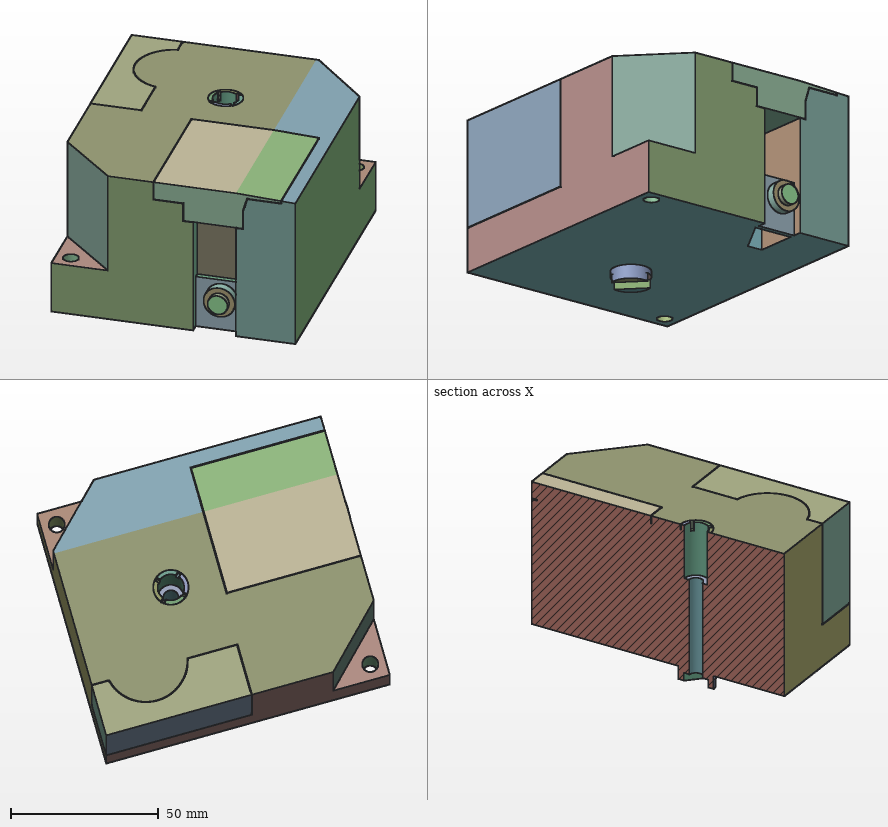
import cadquery as cq
import math

width = 86.0
depth = 100.0
height = 55.0

slope_start_x = 65.1
slope_drop = 0.9

corner_leg = 20.0
shelf_z = 18.7
mount_dia = 5.4
mount_inset = 5.4

seam_gap = 0.2
seam_depth = 2.0
outline_overrun = 1.0

lid_left = 36.1
lid_right = 80.9
lid_back_y = 47.1
lid_step_x = 46.6
lid_step_z = 48.5
lid_bottom_z = 41.7
lid_wall_x = 67.4
lid_taper_x = 69.0
lid_flange_z = 53.4
lid_clearance_depth = 22.4

panel_width = 17.8
panel_front_y = 48.8
panel_bottom_z = 16.2
bite_radius = 14.3
bite_x = 21.0
bite_y = 80.1

slot_left = 50.0
slot_right = 65.1
slot_middle_x = 59.2
oblique_angle = 60.0

plate_setback = 3.3
plate_thickness = 1.9
plate_top_z = 19.1
button_z = 12.1
button_dia = 11.0
button_pin_dia = 7.0
button_pin_length = 2.0

hub_x = 43.0
hub_y = 65.0
hub_outer_dia = 12.0
hub_ring_dia = 11.9
hub_seam_depth = 2.0
hub_bore_dia = 9.0
hub_bore_depth = 20.4
hub_hole_dia = 5.2
spigot_dia = 14.0
spigot_length = 5.0
key_slot_width = 6.7
key_slot_depth = 3.0
key_slot_angle = -45
hub_notch_width = 1.2
hub_notch_depth = 3.3
hub_notch_angles = (45, -45)


def box(x0, x1, y0, y1, z0, z1):
    return cq.Workplane("XY").box(x1 - x0, y1 - y0, z1 - z0, centered=False).translate((x0, y0, z0))


def cylinder(x, y, z0, z1, diameter):
    return cq.Workplane("XY", origin=(x, y, z0)).circle(diameter / 2).extrude(z1 - z0)


def front_cylinder(x, z, y_front, y_back, diameter):
    return cq.Workplane("XZ", origin=(x, y_back, z)).circle(diameter / 2).extrude(y_back - y_front)


def housing():
    profile = [(0, 0), (width, 0), (width, height - slope_drop), (slope_start_x, height), (0, height)]
    return cq.Workplane("XZ").polyline(profile).close().extrude(-depth)


def corner_cut(x, y, x_inward, y_inward):
    triangle = [(x, y), (x + x_inward * corner_leg, y), (x, y + y_inward * corner_leg)]
    cut = cq.Workplane("XY", origin=(0, 0, shelf_z)).polyline(triangle).close().extrude(height - shelf_z)
    hole_x = x + x_inward * mount_inset
    hole_y = y + y_inward * mount_inset
    return cut.union(cylinder(hole_x, hole_y, 0, height, mount_dia))


def lid_profile():
    above = height + outline_overrun
    outline = [
        (lid_left, above),
        (lid_left, lid_step_z),
        (lid_step_x, lid_step_z),
        (lid_step_x, lid_bottom_z),
        (lid_wall_x, lid_bottom_z),
        (lid_wall_x, lid_step_z),
        (lid_taper_x, lid_flange_z),
        (lid_right, lid_flange_z),
        (lid_right, above),
    ]
    return cq.Workplane("XZ").polyline(outline).close()


def panel_profile():
    left = -outline_overrun
    back = depth + outline_overrun
    bite_half_chord = math.sqrt(bite_radius**2 - (bite_x - panel_width) ** 2)
    return (
        cq.Workplane("XY", origin=(0, 0, panel_bottom_z))
        .moveTo(left, panel_front_y)
        .lineTo(panel_width, panel_front_y)
        .lineTo(panel_width, bite_y - bite_half_chord)
        .threePointArc((bite_x - bite_radius, bite_y), (panel_width, bite_y + bite_half_chord))
        .lineTo(panel_width, back)
        .lineTo(left, back)
        .close()
    )


def housing_skin():
    core = box(seam_depth, width, seam_depth, depth - seam_depth, 0, height - slope_drop - seam_depth)
    return box(0, width, 0, depth, 0, height).cut(core)


def lid_seam():
    lid = lid_profile().extrude(-lid_back_y)
    pocket = lid_profile().offset2D(seam_gap, "intersection").extrude(-lid_back_y - seam_gap)
    seam = pocket.cut(lid).intersect(housing_skin())
    clearance_z = lid_bottom_z - seam_gap
    return seam.union(box(lid_step_x, lid_wall_x, 0, lid_clearance_depth, clearance_z, lid_bottom_z))


def panel_seam():
    rise = height - panel_bottom_z
    panel = panel_profile().extrude(rise)
    pocket = panel_profile().offset2D(seam_gap, "intersection").extrude(rise + seam_gap)
    pocket = pocket.translate((0, 0, -seam_gap))
    return pocket.cut(panel).intersect(housing_skin())


def front_slot():
    oblique_front_y = plate_setback + plate_thickness
    slot_back_y = oblique_front_y + (slot_middle_x - slot_left) * math.tan(math.radians(oblique_angle))
    outline = [
        (slot_left, 0),
        (slot_right, 0),
        (slot_right, slot_back_y),
        (slot_middle_x, slot_back_y),
        (slot_left, oblique_front_y),
    ]
    return cq.Workplane("XY").polyline(outline).close().extrude(lid_bottom_z)


def button_plate():
    plate_back_y = plate_setback + plate_thickness
    plate = box(slot_left, slot_right, plate_setback, plate_back_y, 0, plate_top_z)
    button = front_cylinder(slot_middle_x, button_z, 0, plate_back_y, button_dia)
    pin = front_cylinder(slot_middle_x, button_z, -button_pin_length, plate_back_y, button_pin_dia)
    return plate.union(button).union(pin)


def hub_bar(length, bar_width, z0, z1, angle):
    bar = box(-length / 2, length / 2, -bar_width / 2, bar_width / 2, z0, z1)
    return bar.rotate((0, 0, 0), (0, 0, 1), angle).translate((hub_x, hub_y, 0))


def spigot():
    slot_top_z = key_slot_depth - spigot_length
    key_slot = hub_bar(spigot_dia, key_slot_width, -spigot_length, slot_top_z, key_slot_angle)
    return cylinder(hub_x, hub_y, -spigot_length, 0, spigot_dia).cut(key_slot)


def hub_openings():
    seam_floor = height - hub_seam_depth
    ring_seam = cylinder(hub_x, hub_y, seam_floor, height, hub_outer_dia)
    ring_seam = ring_seam.cut(cylinder(hub_x, hub_y, seam_floor, height, hub_ring_dia))
    bore = cylinder(hub_x, hub_y, height - hub_bore_depth, height, hub_bore_dia)
    hole = cylinder(hub_x, hub_y, -spigot_length, height, hub_hole_dia)
    openings = ring_seam.union(bore).union(hole)
    for angle in hub_notch_angles:
        notch = hub_bar(hub_outer_dia, hub_notch_width, height - hub_notch_depth, height, angle)
        openings = openings.union(notch)
    return openings


result = housing()
result = result.cut(corner_cut(0, 0, 1, 1))
result = result.cut(corner_cut(width, depth, -1, -1))
result = result.cut(lid_seam())
result = result.cut(panel_seam())
result = result.cut(front_slot())
result = result.union(button_plate())
result = result.union(spigot())
result = result.cut(hub_openings())